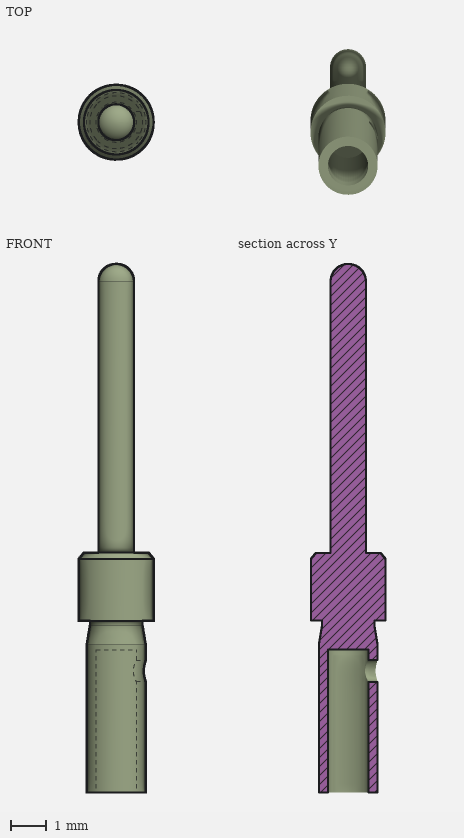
import cadquery as cq

length = 14.8

pin_radius = 0.5

collar_radius = 1.05
collar_bottom = 4.81
collar_top = 6.72
chamfer_height = 0.18
chamfer_width = 0.15

neck_radius = 0.74
neck_bottom = 4.68
barrel_radius = 0.83
barrel_top = 4.15


bore_radius = 0.56
bore_depth = 4.0
inspection_radius = 0.3
inspection_height = 3.4


def turned_body():
    """Revolve the half profile of the contact about Z."""
    tip_base = length - pin_radius
    return (
        cq.Workplane("XZ")
        .lineTo(barrel_radius, 0)
        .lineTo(barrel_radius, barrel_top)
        .lineTo(neck_radius, neck_bottom)
        .lineTo(neck_radius, collar_bottom)
        .lineTo(collar_radius, collar_bottom)
        .lineTo(collar_radius, collar_top - chamfer_height)
        .lineTo(collar_radius - chamfer_width, collar_top)
        .lineTo(pin_radius, collar_top)
        .lineTo(pin_radius, tip_base)
        .radiusArc((0, length), -pin_radius)
        .close()
        .revolve(360, (0, 0), (0, 1))
    )


def wire_bore():
    """Blind bore entering from the barrel end."""
    return cq.Workplane("XY").circle(bore_radius).extrude(bore_depth)


def inspection_hole():
    """Radial hole through the +X wall of the barrel."""
    return (
        cq.Workplane("YZ")
        .center(0, inspection_height)
        .circle(inspection_radius)
        .extrude(collar_radius)
    )


result = turned_body().cut(wire_bore()).cut(inspection_hole())